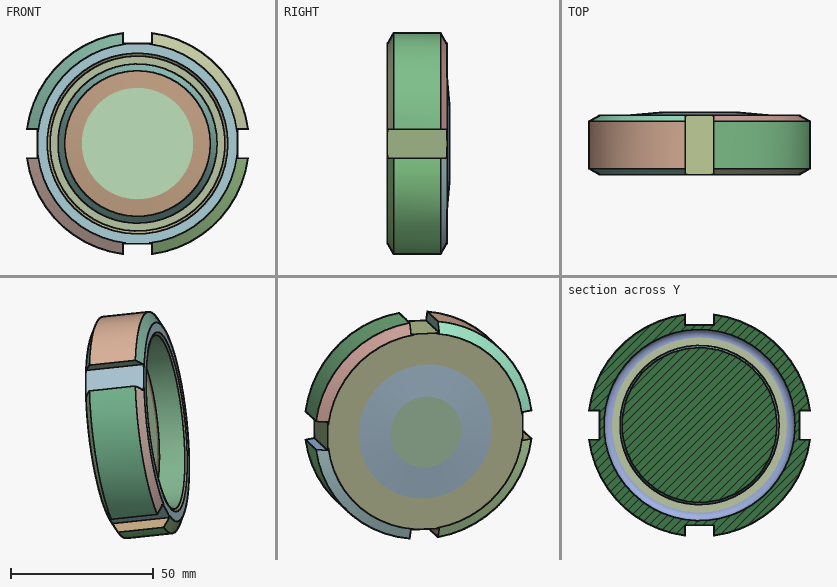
import cadquery as cq
import math


overall_width = 77.35
nut_height = 21.0
overall_height = 22.0

face_radius = 35.05
chamfer_height = 2.25
slot_width = 10.1
slot_count = 4
outer_radius = math.hypot(overall_width / 2, slot_width / 2)

bore_radius = 61.2 / 2
bore_chamfer_width = 1.0
bore_chamfer_depth = 0.6
groove_start_depth = 12.5
groove_diameter = 5.5
floor_depth = groove_start_depth + groove_diameter

plug_base_radius = 55.7 / 2
plug_edge_radius = 25.45
plug_face_radius = 19.5
plug_edge_depth = 8.5
plug_face_depth = 8.0

back_edge_radius = 24.0
back_face_radius = 12.7


def make_body():
    """Revolve the nut and the cap together as one half section (radius, depth)."""
    groove_radius = groove_diameter / 2
    groove_bottom = (bore_radius + groove_radius, groove_start_depth + groove_radius)
    section = (
        cq.Workplane("XY")
        .moveTo(0, plug_face_depth)
        .lineTo(plug_face_radius, plug_face_depth)
        .lineTo(plug_edge_radius, plug_edge_depth)
        .lineTo(plug_base_radius, floor_depth)
        .lineTo(bore_radius, floor_depth)
        .threePointArc(groove_bottom, (bore_radius, groove_start_depth))
        .lineTo(bore_radius, bore_chamfer_depth)
        .lineTo(bore_radius + bore_chamfer_width, 0)
        .lineTo(face_radius, 0)
        .lineTo(outer_radius, chamfer_height)
        .lineTo(outer_radius, nut_height - chamfer_height)
        .lineTo(face_radius, nut_height)
        .lineTo(back_edge_radius, nut_height)
        .lineTo(back_face_radius, overall_height)
        .lineTo(0, overall_height)
        .close()
    )
    return section.revolve(360, (0, 0, 0), (0, 1, 0))


def make_slot(angle):
    """Block that cuts one full-height driving slot down to the face radius."""
    slot_depth = outer_radius - face_radius
    block = cq.Workplane("XY").box(2 * slot_depth, nut_height, slot_width)
    block = block.translate((face_radius + slot_depth, nut_height / 2, 0))
    return block.rotate((0, 0, 0), (0, 1, 0), angle)


result = make_body()
for slot_index in range(slot_count):
    result = result.cut(make_slot(slot_index * 360 / slot_count))